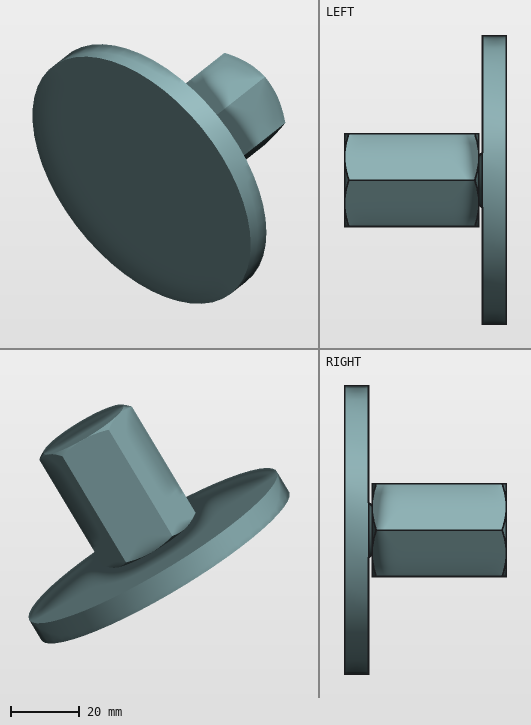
import cadquery as cq
import math

total_length = 47.0
plate_diameter = 84.0
plate_thickness = 7.0
neck_length = 1.0
neck_base_diameter = 16.1
nut_across_flats = 27.05
nut_chamfer_angle = 30.0

nut_length = total_length - plate_thickness - neck_length
nut_across_corners = nut_across_flats / math.cos(math.radians(30))
chamfer_slope = math.tan(math.radians(nut_chamfer_angle))
neck_tip_diameter = neck_base_diameter - 2 * neck_length
plate_inner_y = plate_thickness
nut_start_y = plate_inner_y + neck_length
nut_end_y = total_length


def revolve_about_y(profile):
    """Turn a closed (radius, y) profile around the Y axis."""
    return cq.Workplane("XY").polyline(profile).close().revolve(360, (0, 0, 0), (0, 1, 0))


def make_plate():
    """Round plate with a short conical neck that carries the nut."""
    return revolve_about_y([
        (0, 0),
        (plate_diameter / 2, 0),
        (plate_diameter / 2, plate_inner_y),
        (neck_base_diameter / 2, plate_inner_y),
        (neck_tip_diameter / 2, nut_start_y),
        (0, nut_start_y),
    ])


def make_nut():
    """Long hexagon with corners on the X axis, chamfered at both ends."""
    hexagon = (
        cq.Workplane("XZ", origin=(0, nut_start_y, 0))
        .polygon(6, nut_across_corners)
        .extrude(-nut_length)
    )
    face_radius = nut_across_flats / 2
    outer_radius = nut_across_corners / 2
    chamfer_depth = (outer_radius - face_radius) * chamfer_slope
    chamfer_envelope = revolve_about_y([
        (0, nut_start_y),
        (face_radius, nut_start_y),
        (outer_radius, nut_start_y + chamfer_depth),
        (outer_radius, nut_end_y - chamfer_depth),
        (face_radius, nut_end_y),
        (0, nut_end_y),
    ])
    return hexagon.intersect(chamfer_envelope)


plate = make_plate()
nut = make_nut()
result = cq.Compound.makeCompound([plate.val(), nut.val()])